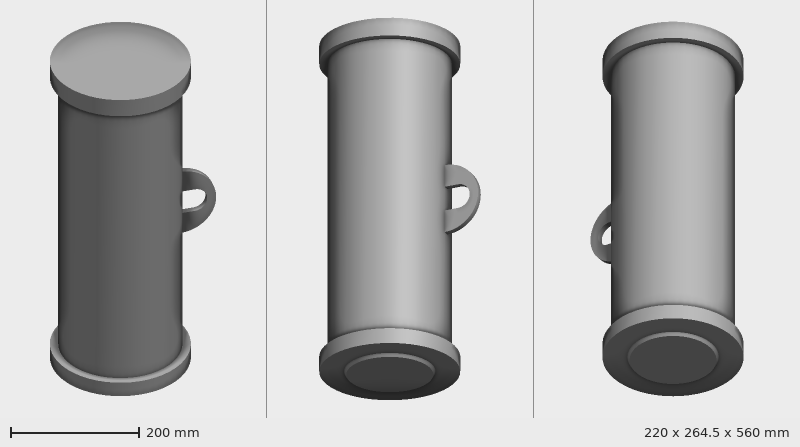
import cadquery as cq

total_height = 560.0
flange_diameter = 220.0
body_diameter = 194.0
top_flange_thickness = 30.0
bottom_flange_thickness = 25.0

base_top_diameter = 143.5
base_bottom_diameter = 135.5
base_height = 5.0

overall_depth = 264.5
eye_thickness = 10.0
eye_height = 114.0
slot_height = 40.5
slot_wall = 14.5

flange_radius = flange_diameter / 2
eye_radius = eye_height / 2
slot_radius = slot_height / 2
eye_tip_y = overall_depth - flange_radius
eye_center_y = eye_tip_y - eye_radius
slot_center_y = eye_tip_y - slot_wall - slot_radius
eye_center_z = total_height / 2


def disc(diameter, bottom_z, height):
    """Solid cylinder on the Z axis."""
    return cq.Workplane("XY").workplane(offset=bottom_z).circle(diameter / 2).extrude(height)


def round_ended_plate(center_y, radius):
    """Plate in the YZ plane, from the Z axis to a round end on the +Y side."""
    return (
        cq.Workplane("YZ", origin=(0, 0, eye_center_z))
        .moveTo(0, -radius)
        .lineTo(center_y, -radius)
        .threePointArc((center_y + radius, 0), (center_y, radius))
        .lineTo(0, radius)
        .close()
        .extrude(eye_thickness / 2, both=True)
    )


base = (
    cq.Workplane("XY")
    .circle(base_bottom_diameter / 2)
    .workplane(offset=base_height)
    .circle(base_top_diameter / 2)
    .loft(ruled=True)
)
bottom_flange = disc(flange_diameter, base_height, bottom_flange_thickness)
body = disc(body_diameter, base_height, total_height - base_height)
top_flange = disc(flange_diameter, total_height - top_flange_thickness, top_flange_thickness)

eye = round_ended_plate(eye_center_y, eye_radius).cut(round_ended_plate(slot_center_y, slot_radius))

result = body.union(bottom_flange).union(base).union(top_flange).union(eye)